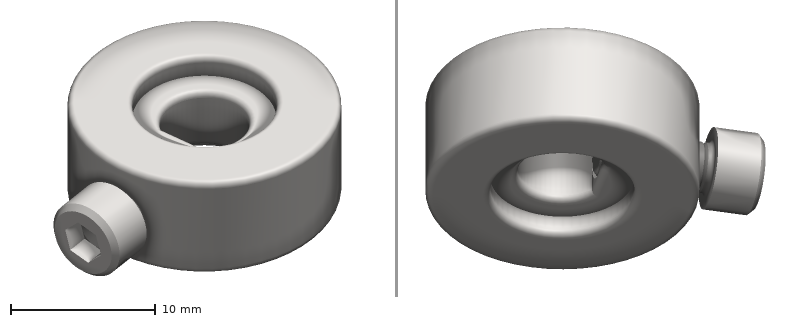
import cadquery as cq
import math

COLLAR_DIAMETER = 19.0
COLLAR_RADIUS = COLLAR_DIAMETER / 2
COLLAR_HEIGHT = 7.9
COLLAR_TOP = COLLAR_HEIGHT / 2
COLLAR_BOTTOM = -COLLAR_TOP
EDGE_FILLET = 0.5

BORE_RADIUS = 3.1
FLAT_DISTANCE = 2.55
COUNTERBORE_RADIUS = 5.0
COUNTERBORE_DEPTH = 1.61
COUNTERBORE_FLOOR = COLLAR_TOP - COUNTERBORE_DEPTH

OVERALL_LENGTH = 23.4
HEAD_FACE_DISTANCE = OVERALL_LENGTH - COLLAR_RADIUS
HEAD_RADIUS = 2.88
HEAD_LENGTH = 3.49
HEAD_CHAMFER = 0.4
SHANK_RADIUS = 1.75
TIP_PROTRUSION = 0.07
TIP_CHAMFER = 0.4
TIP_DISTANCE = FLAT_DISTANCE - TIP_PROTRUSION

NECK_FILLET = 0.25
NECK_LAND = 0.16
GROOVE_DEPTH = 0.15
GROOVE_WIDTH = 2 * GROOVE_DEPTH

SOCKET_ACROSS_FLATS = 2.78
SOCKET_ACROSS_CORNERS = SOCKET_ACROSS_FLATS / math.cos(math.pi / 6)
SOCKET_DEPTH = 1.64
SOCKET_TURN = -14.0
DRILL_POINT_ANGLE = 120.0
DRILL_POINT_DEPTH = SOCKET_ACROSS_FLATS / 2 / math.tan(math.radians(DRILL_POINT_ANGLE / 2))


def screw_plane(distance):
    """Plane across the screw axis, facing into the collar, at a distance from the collar axis."""
    return cq.Plane(origin=(0, -distance, 0), xDir=(1, 0, 0), normal=(0, 1, 0))


def d_bore():
    """Shaft bore: a cylinder cut off by the flat on its -Y side."""
    bottom = cq.Workplane("XY", origin=(0, 0, COLLAR_BOTTOM))
    flat_half_width = math.sqrt(BORE_RADIUS**2 - FLAT_DISTANCE**2)
    return (
        bottom.moveTo(-flat_half_width, -FLAT_DISTANCE)
        .lineTo(flat_half_width, -FLAT_DISTANCE)
        .threePointArc((0, BORE_RADIUS), (-flat_half_width, -FLAT_DISTANCE))
        .close()
        .extrude(COLLAR_HEIGHT)
    )


def mouth_edges(body, height, reach):
    """Edges of a body that lie at one height, within reach of the Z axis along X and Y."""
    margin = 0.02
    low_corner = (-reach - margin, -reach - margin, height - margin)
    high_corner = (reach + margin, reach + margin, height + margin)
    return body.edges(cq.selectors.BoxSelector(low_corner, high_corner, boundingbox=True))


def make_collar():
    bottom = cq.Workplane("XY", origin=(0, 0, COLLAR_BOTTOM))
    collar = bottom.circle(COLLAR_RADIUS).extrude(COLLAR_HEIGHT).edges().fillet(EDGE_FILLET)

    for side in (1, -1):
        floor = cq.Workplane("XY", origin=(0, 0, side * COUNTERBORE_FLOOR))
        collar = collar.cut(floor.circle(COUNTERBORE_RADIUS).extrude(side * COUNTERBORE_DEPTH))
        collar = mouth_edges(collar, side * COLLAR_TOP, COUNTERBORE_RADIUS).fillet(EDGE_FILLET)

    collar = collar.cut(d_bore())
    for side in (1, -1):
        collar = mouth_edges(collar, side * COUNTERBORE_FLOOR, BORE_RADIUS).fillet(EDGE_FILLET)

    screw_start = cq.Workplane(screw_plane(COLLAR_RADIUS))
    return collar.cut(screw_start.circle(SHANK_RADIUS).extrude(COLLAR_RADIUS))


def screw_blank():
    """Turned shape of the screw: half its outline, revolved about the screw axis."""
    head_face = -HEAD_FACE_DISTANCE
    head_underside = head_face + HEAD_LENGTH
    tip = -TIP_DISTANCE
    land_start = head_underside + NECK_FILLET
    groove_start = land_start + NECK_LAND
    groove_end = groove_start + GROOVE_WIDTH
    fillet_middle = NECK_FILLET * (1 - math.sqrt(0.5))
    return (
        cq.Workplane("XY")
        .moveTo(0, head_face)
        .lineTo(HEAD_RADIUS - HEAD_CHAMFER, head_face)
        .lineTo(HEAD_RADIUS, head_face + HEAD_CHAMFER)
        .lineTo(HEAD_RADIUS, head_underside)
        .lineTo(SHANK_RADIUS + NECK_FILLET, head_underside)
        .threePointArc(
            (SHANK_RADIUS + fillet_middle, head_underside + fillet_middle),
            (SHANK_RADIUS, land_start),
        )
        .lineTo(SHANK_RADIUS, groove_start)
        .lineTo(SHANK_RADIUS - GROOVE_DEPTH, groove_start + GROOVE_WIDTH / 2)
        .lineTo(SHANK_RADIUS, groove_end)
        .lineTo(SHANK_RADIUS, tip - TIP_CHAMFER)
        .lineTo(SHANK_RADIUS - TIP_CHAMFER, tip)
        .lineTo(0, tip)
        .close()
        .revolve(360, (0, 0, 0), (0, 1, 0))
    )


def key_socket():
    """Hexagonal socket that ends in a cone as wide as the hexagon's flats."""
    hexagon = (
        cq.Workplane(screw_plane(HEAD_FACE_DISTANCE).rotated((0, 0, -SOCKET_TURN)))
        .polygon(6, SOCKET_ACROSS_CORNERS)
        .extrude(SOCKET_DEPTH)
    )
    drill_point = cq.Solid.makeCone(
        SOCKET_ACROSS_FLATS / 2,
        0,
        DRILL_POINT_DEPTH,
        pnt=cq.Vector(0, SOCKET_DEPTH - HEAD_FACE_DISTANCE, 0),
        dir=cq.Vector(0, 1, 0),
    )
    return hexagon.union(cq.Workplane(drill_point))


def make_screw():
    return screw_blank().cut(key_socket())


collar = make_collar()
screw = make_screw()
result = cq.Compound.makeCompound([collar.val(), screw.val()])